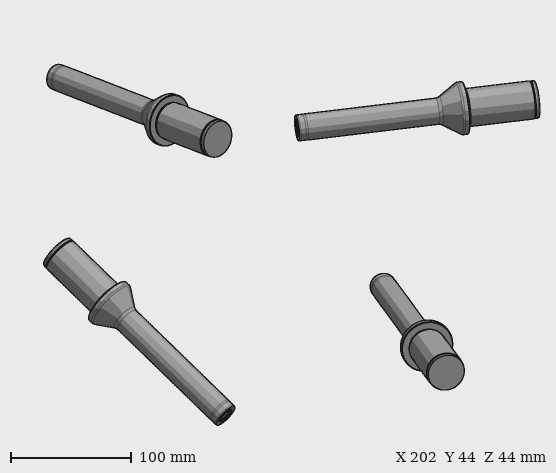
import cadquery as cq

overall_length = 202.0
tip_chamfer_length = 1.2
pilot_end = 5.7
stem_start = 7.5
cone_start = 119.8
cone_end = 137.0
collar_end = 141.8
neck_end = 143.0
shank_start = 143.6
shank_end = 197.8
groove_bottom = 198.4
rear_land_start = 199.0
rear_chamfer_length = 1.2

tip_face_diameter = 21.5
pilot_diameter = 21.8
stem_diameter = 22.0
collar_diameter = 44.0
shank_diameter = 32.0
shank_relief_diameter = 31.5
groove_diameter = 31.1
rear_face_diameter = 31.0

cone_root_fillet = 5.5
cone_rim_fillet = 3.2
collar_chamfer = 0.6

plug_diameter = 14.1
plug_length = 20.2
plug_chamfer = 0.5
dish_mouth_diameter = 11.0
dish_step_diameter = 9.3
dish_floor_diameter = 8.0
dish_step_depth = 0.5
dish_depth = 0.6


def revolve_about_x(profile):
    """Turn a closed XY profile around the X axis."""
    return profile.close().revolve(360, (0, 0, 0), (1, 0, 0))


def at_station(x):
    """Selector for the circular edges lying in a thin slab at the given X."""
    half_thickness = 0.1
    reach = collar_diameter
    return cq.selectors.BoxSelector(
        (x - half_thickness, -reach, -reach),
        (x + half_thickness, reach, reach),
    )


def make_front_stem():
    """Stem with a reduced pilot tip, ending in a cone and a collar."""
    stem = revolve_about_x(
        cq.Workplane("XY")
        .moveTo(0, 0)
        .lineTo(0, tip_face_diameter / 2)
        .lineTo(tip_chamfer_length, pilot_diameter / 2)
        .lineTo(pilot_end, pilot_diameter / 2)
        .lineTo(stem_start, stem_diameter / 2)
        .lineTo(cone_start, stem_diameter / 2)
        .lineTo(cone_end, collar_diameter / 2)
        .lineTo(collar_end, collar_diameter / 2)
        .lineTo(collar_end, 0)
    )
    stem = stem.edges(at_station(cone_start)).fillet(cone_root_fillet)
    stem = stem.edges(at_station(cone_end)).fillet(cone_rim_fillet)
    return stem.faces(">X").edges().chamfer(collar_chamfer)


def make_shank():
    """Cylindrical shank with a relieved neck and a shallow V groove before its chamfered rear end."""
    return revolve_about_x(
        cq.Workplane("XY")
        .moveTo(collar_end, 0)
        .lineTo(collar_end, shank_relief_diameter / 2)
        .lineTo(neck_end, shank_relief_diameter / 2)
        .lineTo(shank_start, shank_diameter / 2)
        .lineTo(shank_end, shank_diameter / 2)
        .lineTo(groove_bottom, groove_diameter / 2)
        .lineTo(rear_land_start, shank_relief_diameter / 2)
        .lineTo(overall_length - rear_chamfer_length, shank_relief_diameter / 2)
        .lineTo(overall_length, rear_face_diameter / 2)
        .lineTo(overall_length, 0)
    )


def make_plug_blank():
    """Plain cylinder that fills the bore at the tip."""
    return cq.Workplane("YZ").circle(plug_diameter / 2).extrude(plug_length)


def make_dish():
    """Shallow round dish whose sloping wall flattens towards its floor."""
    return revolve_about_x(
        cq.Workplane("XY")
        .moveTo(0, 0)
        .lineTo(0, dish_mouth_diameter / 2)
        .lineTo(dish_step_depth, dish_step_diameter / 2)
        .lineTo(dish_depth, dish_floor_diameter / 2)
        .lineTo(dish_depth, 0)
    )


def make_holder():
    """Stem and shank as one turned body, bored for the plug."""
    return make_front_stem().union(make_shank()).cut(make_plug_blank())


def make_plug():
    """Plug flush with the tip, chamfered at its outer end and dished."""
    plug = make_plug_blank().faces("<X").edges().chamfer(plug_chamfer)
    return plug.cut(make_dish())


holder = make_holder()
plug = make_plug()
result = cq.Compound.makeCompound([holder.val(), plug.val()])